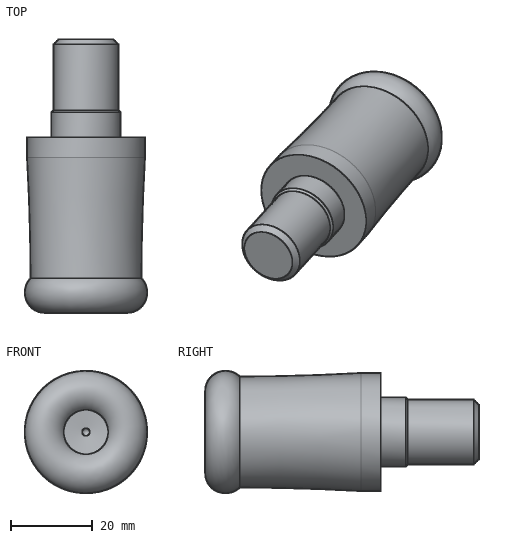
import cadquery as cq
import math

overall_length = 67.0
rim_end = 8.5
grip_end = 38.1
flange_end = 43.0
collar_end = 49.6
collar_chamfer = 0.55
tip_chamfer = 1.35

rim_radius = 15.0
bead_radius = 5.0
flange_radius = 14.5
collar_radius = 8.5
shaft_radius = 8.0
floor_radius = 5.4
pip_radius = 0.95

floor_dish = 0.55

grip_bow = 0.2

bead_center_radius = rim_radius - bead_radius
neck_radius = bead_center_radius + math.sqrt(bead_radius**2 - (rim_end - bead_radius) ** 2)
floor_depth = bead_radius - math.sqrt(bead_radius**2 - (bead_center_radius - floor_radius) ** 2)

floor_middle = floor_depth + floor_dish

grip_middle = (
    (neck_radius + flange_radius) / 2 - grip_bow,
    (rim_end + grip_end) / 2,
)


def make_body():
    """Revolve the half profile (radius, position) about the Y axis."""
    profile = (
        cq.Workplane("XY")
        .moveTo(0, floor_middle)
        .lineTo(floor_radius, floor_depth)
        .threePointArc((bead_center_radius, 0), (neck_radius, rim_end))
        .threePointArc(grip_middle, (flange_radius, grip_end))
        .lineTo(flange_radius, flange_end)
        .lineTo(collar_radius, flange_end)
        .lineTo(collar_radius, collar_end - collar_chamfer)
        .lineTo(shaft_radius, collar_end)
        .lineTo(shaft_radius, overall_length - tip_chamfer)
        .lineTo(shaft_radius - tip_chamfer, overall_length)
        .lineTo(0, overall_length)
        .close()
    )
    return profile.revolve(360, (0, 0, 0), (0, 1, 0))


pip = cq.Workplane("XY").sphere(pip_radius).translate((0, floor_middle, 0))

result = make_body().cut(pip)